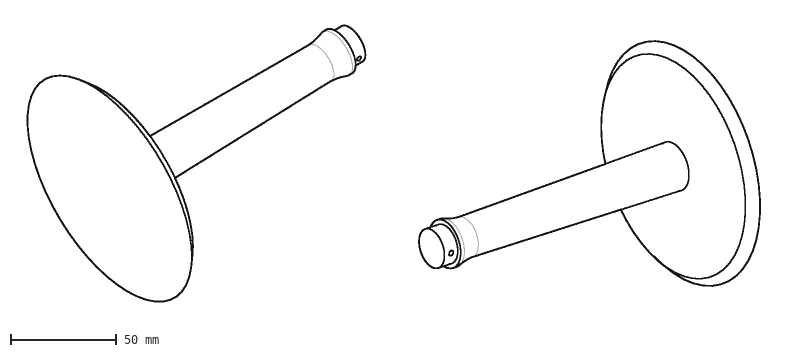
import cadquery as cq

total_length = 150.0
disc_radius = 60.0
disc_thickness = 5.0
disc_bevel = disc_thickness

stem_base_radius = 12.0
stem_tip_radius = 10.0
collar_radius = 12.0
collar_length = 2.1
flare_length = 9.9
flare_sag = 0.38
spigot_radius = 9.8
spigot_length = 8.0

hole_diameter = 2.5
hole_from_end = 4.0

collar_end = total_length - spigot_length
flare_end = collar_end - collar_length
stem_end = flare_end - flare_length


def turned_body():
    """Revolve the half outline (radius, length) about the Y axis."""
    return (
        cq.Workplane("XY")
        .lineTo(disc_radius, 0)
        .lineTo(disc_radius - disc_bevel, disc_thickness)
        .lineTo(stem_base_radius, disc_thickness)
        .lineTo(stem_tip_radius, stem_end)
        .sagittaArc((collar_radius, flare_end), flare_sag)
        .lineTo(collar_radius, collar_end)
        .lineTo(spigot_radius, collar_end)
        .lineTo(spigot_radius, total_length)
        .lineTo(0, total_length)
        .close()
        .revolve(360, (0, 0, 0), (0, 1, 0))
    )


def cross_hole():
    """Cylinder along X that passes right through the spigot."""
    return (
        cq.Workplane("YZ")
        .center(total_length - hole_from_end, 0)
        .circle(hole_diameter / 2)
        .extrude(2 * spigot_radius, both=True)
    )


result = turned_body().cut(cross_hole())